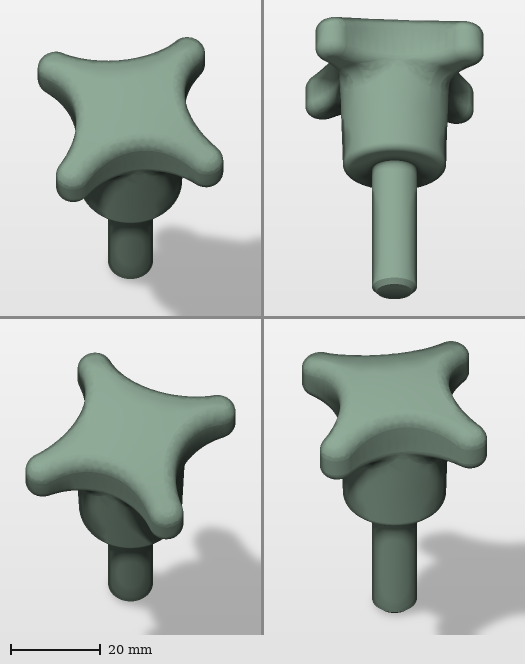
import cadquery as cq
import math

span = 49.95
total_height = 63.0

stud_diameter = 10.0
stud_length = 30.0
stud_chamfer = 1.1

hub_base_radius = 11.45
hub_draft = math.radians(2)
hub_base_fillet = 1.5
hub_top_fillet = 3.8

underside_height = 49.95
dome_radius = 70.55
arm_half_width = 3.85
hollow_center = 20.6
top_edge_fillet = 3.0
bottom_edge_fillet = 2.45

hollow_radius = hollow_center - arm_half_width
hub_top_height = underside_height + bottom_edge_fillet

tolerance = 0.005


def hub_radius_at(height):
    """Radius of the drafted hub wall at a given height."""
    return hub_base_radius + (height - stud_length) * math.tan(hub_draft)


def star_prism():
    """Four round-ended arms joined by round hollows, from the underside to the full height."""
    base = cq.Workplane("XY").workplane(offset=underside_height)
    prism_height = total_height - underside_height
    core_width = 2 * hollow_center
    star = base.rect(core_width, core_width).extrude(prism_height)
    hollow_layout = base.rect(core_width, core_width, forConstruction=True).vertices()
    star = star.cut(hollow_layout.circle(hollow_radius).extrude(prism_height))
    for angle in (0, 90):
        arms = base.slot2D(span, 2 * arm_half_width, angle).extrude(prism_height)
        star = star.union(arms)
    return star


def head():
    """Star with a domed top and rounded upper and lower rims."""
    ball = cq.Workplane("XY").sphere(dome_radius).rotate((0, 0, 0), (1, 0, 0), 90)
    ball = ball.translate((0, 0, total_height - dome_radius))
    domed_star = star_prism().intersect(ball)
    domed_star = domed_star.faces(">Z").edges().fillet(top_edge_fillet)
    return domed_star.faces("<Z").edges().fillet(bottom_edge_fillet)


def hub():
    """Cone frustum widening upwards into the head."""
    profile = [
        (0, stud_length),
        (hub_base_radius, stud_length),
        (hub_radius_at(hub_top_height), hub_top_height),
        (0, hub_top_height),
    ]
    return cq.Workplane("XZ").polyline(profile).close().revolve(360, (0, 0, 0), (0, 1, 0))


def is_hub_junction(edge):
    """True for edges where the hub wall enters the head."""

    def lies_on_hub_wall(point):
        wall_radius = hub_radius_at(point.z)
        return abs(math.hypot(point.x, point.y) - wall_radius) < tolerance

    box = edge.BoundingBox()
    below_hub_top = box.zmin > underside_height - tolerance and box.zmax < hub_top_height
    return below_hub_top and all(lies_on_hub_wall(point) for point in edge.positions([0.2, 0.5, 0.8]))


def handle():
    """Head and hub in one piece, blended where they meet."""
    body = head().union(hub())
    junction = [edge for edge in body.edges().vals() if is_hub_junction(edge)]
    body = body.newObject(junction).fillet(hub_top_fillet)
    return body.faces("<Z").edges().fillet(hub_base_fillet)


def stud():
    """Stud running down from the hub, chamfered at its free end."""
    pin = cq.Workplane("XY").circle(stud_diameter / 2).extrude(stud_length)
    return pin.faces("<Z").chamfer(stud_chamfer)


result = handle().union(stud())